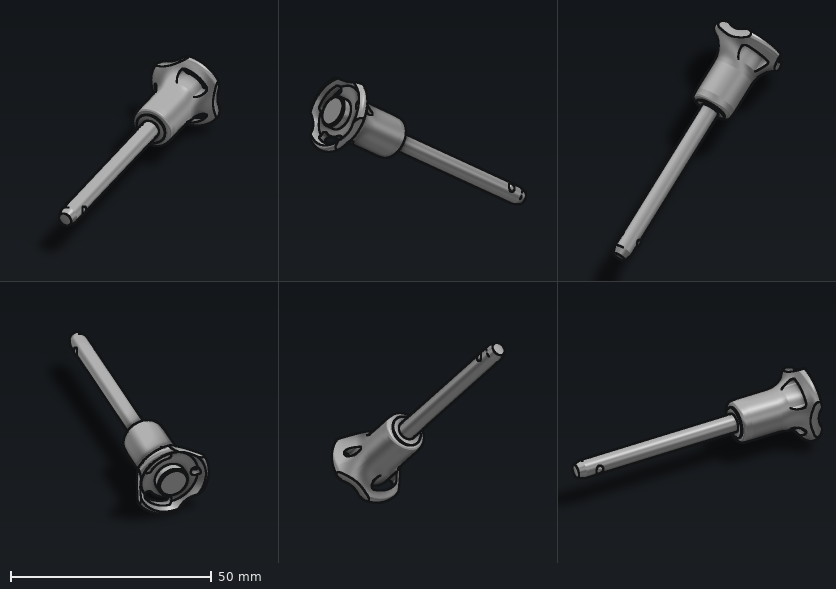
import cadquery as cq
import math

length = 65.8

shank_diameter = 4.8
shank_radius = shank_diameter / 2
tip_radius = 1.8
tip_length = 2.0

ball_radius = 1.3
ball_offset = 1.5
ball_depth = 60.2

button_radius = 4.0
button_chamfer = 0.4

body_radius = 5.6
taper_start = 18.55
taper_end = 20.1
taper_radius = 5.45
body_end = 20.8
body_nose_radius = 4.8
collar_radius = 4.0
collar_end = 21.1

grip_radius = 10.2
rim_round = 1.25
rim_back = 0.6
flare_radius = 8.4
dish_floor = 2.6
dish_wall_run = 1.4

cut_count = 3
cut_corner_distance = 8.7
cut_middle_distance = 8.35

slot_circle_radius = 7.0
hole_circle_radius = 6.9
slot_width = 2.1
hole_diameter = 2.4
slot_half_angle = 26.0
lobe_angles = (60.0, 300.0)
hole_angle = 180.0


def front_plane():
    """Sketch plane at Y = 0 facing -Y, with local x along X and local y along Z."""
    return cq.Workplane("XZ")


def polar(radius, degrees):
    angle = math.radians(degrees)
    return (radius * math.cos(angle), radius * math.sin(angle))


def handle():
    rim_x = grip_radius - rim_round
    rim_y = rim_back + rim_round
    flare_x = body_radius + flare_radius
    rim_to_flare_x = flare_x - rim_x
    rim_to_flare_y = math.sqrt((rim_round + flare_radius) ** 2 - rim_to_flare_x**2)
    flare_end = rim_y + rim_to_flare_y
    blend_angle = math.atan2(rim_to_flare_y, rim_to_flare_x)
    blend_x = rim_x + rim_round * math.cos(blend_angle)
    blend_y = rim_y + rim_round * math.sin(blend_angle)
    flare_mid_x = flare_x - flare_radius * math.cos(blend_angle / 2)
    flare_mid_y = flare_end - flare_radius * math.sin(blend_angle / 2)

    profile = (
        cq.Workplane("XY")
        .moveTo(0, -dish_floor)
        .lineTo(rim_x - dish_wall_run, -dish_floor)
        .lineTo(rim_x, -rim_back)
        .threePointArc((grip_radius, -rim_y), (blend_x, -blend_y))
        .threePointArc((flare_mid_x, -flare_mid_y), (body_radius, -flare_end))
        .lineTo(body_radius, -taper_start)
        .lineTo(taper_radius, -taper_end)
        .tangentArcPoint((body_nose_radius, -body_end), relative=False)
        .lineTo(collar_radius, -body_end)
        .lineTo(collar_radius, -collar_end)
        .lineTo(0, -collar_end)
        .close()
    )
    return profile.revolve(360, (0, 0, 0), (0, 1, 0))


def lobe_cuts():
    half_width = math.sqrt(grip_radius**2 - cut_corner_distance**2)
    sagitta = cut_corner_distance - cut_middle_distance
    radius = (half_width**2 + sagitta**2) / (2 * sagitta)
    centre_distance = cut_middle_distance + radius
    centres = [polar(centre_distance, 360 * i / cut_count) for i in range(cut_count)]
    return front_plane().pushPoints(centres).circle(radius).extrude(body_end)


def arc_slot(middle_angle):
    start = middle_angle - slot_half_angle
    end = middle_angle + slot_half_angle
    inner = slot_circle_radius - slot_width / 2
    outer = slot_circle_radius + slot_width / 2
    start_cap = polar(slot_width / 2, start - 90)
    end_cap = polar(slot_width / 2, end + 90)
    start_centre = polar(slot_circle_radius, start)
    end_centre = polar(slot_circle_radius, end)
    return (
        front_plane()
        .moveTo(*polar(inner, start))
        .threePointArc(polar(inner, middle_angle), polar(inner, end))
        .threePointArc(
            (end_centre[0] + end_cap[0], end_centre[1] + end_cap[1]), polar(outer, end)
        )
        .threePointArc(polar(outer, middle_angle), polar(outer, start))
        .threePointArc(
            (start_centre[0] + start_cap[0], start_centre[1] + start_cap[1]), polar(inner, start)
        )
        .close()
        .extrude(taper_start)
    )


def lobe_hole():
    centre = polar(hole_circle_radius, hole_angle)
    return front_plane().center(*centre).circle(hole_diameter / 2).extrude(taper_start)


def button():
    return front_plane().circle(button_radius).extrude(body_end).faces(">Y").chamfer(button_chamfer)


def shank():
    profile = (
        cq.Workplane("XY")
        .moveTo(0, -body_end)
        .lineTo(shank_radius, -body_end)
        .lineTo(shank_radius, tip_length - length)
        .lineTo(tip_radius, -length)
        .lineTo(0, -length)
        .close()
    )
    pin = profile.revolve(360, (0, 0, 0), (0, 1, 0))
    for x in (-ball_offset, ball_offset):
        pin = pin.union(cq.Workplane("XY").sphere(ball_radius).translate((x, -ball_depth, 0)))
    return pin


grip = handle().cut(lobe_cuts()).cut(lobe_hole())
for angle in lobe_angles:
    grip = grip.cut(arc_slot(angle))

result = grip.union(button()).union(shank())